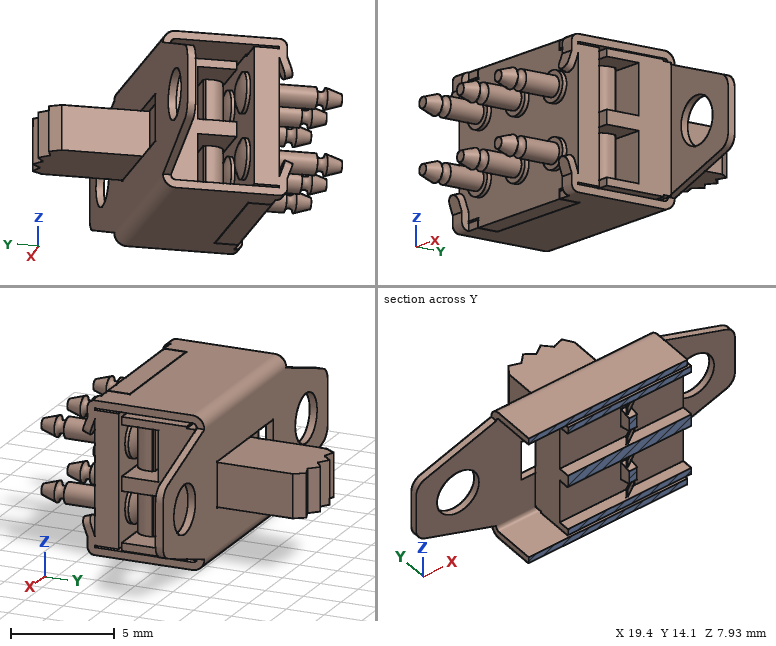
import cadquery as cq
import math


SHEET = 0.40
FRAME_LENGTH = 9.64
FRAME_HEIGHT = 7.93
BEND_RADIUS = 0.635
FLANGE_LENGTH = 19.35
FLANGE_END_HEIGHT = 3.40
FLANGE_CORNER_RADIUS = 0.80
MOUNTING_HOLE_DIAMETER = 2.54
MOUNTING_HOLE_SPACING = 14.27
WINDOW_CLEARANCE = 0.05

LUG_WIDTH = 0.76
LUG_REACH = 1.0
LUG_TILT = 20.0
LUG_BEND_Z = 3.0

BASE_TOP_Y = -4.54
BASE_BOTTOM_Y = -5.79
BASE_HEIGHT = 6.94
BASE_TAB_LENGTH = 6.54
BASE_TAB_TOP_Y = -4.63
NOTCH_SIDE_GAP = 0.06
NOTCH_TOP_GAP = 0.02

PIN_PITCH_X = 3.05
PIN_PITCH_Z = 3.35
PIN_DIAMETER = 1.09
PIN_HEAD_DIAMETER = 2.03
PIN_HEAD_RIM = 0.18
PIN_HEAD_TOP_Y = -4.06
PIN_COLLAR_DIAMETER = 1.63
PIN_COLLAR_THICKNESS = 0.24
PIN_GROOVE_DIAMETER = 0.64
PIN_GROOVE_TOP_Y = -8.0
PIN_GROOVE_BOTTOM_Y = -8.5
PIN_TIP_DIAMETER = 0.58
PIN_TIP_Y = -9.295

KNOB_CENTER_X = 1.31
KNOB_LENGTH = 3.96
KNOB_HEIGHT = 2.29
WINDOW_LENGTH = 2 * KNOB_CENTER_X + KNOB_LENGTH
KNOB_SHOULDER_Y = 3.98
KNOB_CENTER_VALLEY_Y = 4.42
KNOB_PEAK_X = 0.53
KNOB_PEAK_Y = 4.795
KNOB_OUTER_VALLEY_X = 1.0
KNOB_OUTER_VALLEY_Y = 4.32
KNOB_OUTER_PEAK_X = 1.62
KNOB_OUTER_PEAK_Y = 4.53
SLIDER_LENGTH = 7.50
SLIDER_TOP_HEIGHT = 6.68
SLIDER_HEIGHT = 6.86
SLIDER_STEP_Y = -0.83
SLIDER_FLOOR_Y = -2.33
LEG_END_Y = -4.26
LEG_THICKNESS = 0.41
RIB_THICKNESS = 0.75
NIB_RADIUS = 0.17
NIB_TIP_RADIUS = 0.06
NIB_LENGTH = 0.18

CONTACT_CENTER_X = PIN_PITCH_X / 2
CONTACT_LENGTH = 5.2
CONTACT_WIDTH = 2.36
CONTACT_TOP_Y = -3.07
CONTACT_BOTTOM_Y = -4.09
CONTACT_EDGE_RADIUS = 0.70
SPRING_LEAF = 0.10
SPRING_LEAF_LENGTH = 5.0
SPRING_RAIL_THICKNESS = 0.08
SPRING_RAIL_RUN = 0.9
SPRING_RAIL_INNER_Z = 0.70
SPRING_TONGUE_LENGTH = 0.5
SPRING_TONGUE_TOP_HALF_WIDTH = 0.55
SPRING_TONGUE_BOTTOM_HALF_WIDTH = 0.40

HALF_FRAME = FRAME_LENGTH / 2
HALF_HEIGHT = FRAME_HEIGHT / 2
INNER_HALF_HEIGHT = HALF_HEIGHT - SHEET


def block(x_range, y_range, z_range):
    """Box spanning the given (low, high) ranges."""
    spans = [high - low for low, high in (x_range, y_range, z_range)]
    corner = (x_range[0], y_range[0], z_range[0])
    return cq.Workplane("XY").box(*spans, centered=False).translate(corner)


def centered(length, center=0.0):
    """Range of the given length about a center."""
    return (center - length / 2, center + length / 2)


def extrude_along_x(profile_yz, x_range):
    """Polygon of (y, z) points extruded over a range of X."""
    start, end = x_range
    sketch = cq.Workplane("YZ", origin=(start, 0, 0)).polyline(profile_yz).close()
    return sketch.extrude(end - start)


def extrude_along_z(profile_xy, z_range):
    """Polygon of (x, y) points extruded over a range of Z."""
    start, end = z_range
    sketch = cq.Workplane("XY", origin=(0, 0, start)).polyline(profile_xy).close()
    return sketch.extrude(end - start)


def make_flange():
    """Tapered plate with rounded ends, two mounting holes and the knob window."""
    end_x = FLANGE_LENGTH / 2
    end_z = FLANGE_END_HEIGHT / 2
    root_z = HALF_HEIGHT - BEND_RADIUS
    outline = [
        (-end_x, -end_z), (-HALF_FRAME, -root_z), (HALF_FRAME, -root_z),
        (end_x, -end_z), (end_x, end_z), (HALF_FRAME, root_z),
        (-HALF_FRAME, root_z), (-end_x, end_z),
    ]
    plate = cq.Workplane("XZ").polyline(outline).close().extrude(SHEET)
    plate = plate.edges("|Y and (<X or >X)").fillet(FLANGE_CORNER_RADIUS)
    holes = (
        cq.Workplane("XZ")
        .pushPoints([(-MOUNTING_HOLE_SPACING / 2, 0), (MOUNTING_HOLE_SPACING / 2, 0)])
        .circle(MOUNTING_HOLE_DIAMETER / 2)
        .extrude(SHEET)
    )
    return plate.cut(holes)


def make_channel():
    """U-shaped cover: web on the flange plane and two walls, bent at the corners."""
    outer = block(centered(FRAME_LENGTH), (BASE_BOTTOM_Y, 0), centered(FRAME_HEIGHT))
    outer = outer.edges("|X and >Y").fillet(BEND_RADIUS)
    inner = block(centered(FRAME_LENGTH), (BASE_BOTTOM_Y, -SHEET), centered(2 * INNER_HALF_HEIGHT))
    inner = inner.edges("|X and >Y").fillet(BEND_RADIUS - SHEET)
    notches = block(
        centered(BASE_TAB_LENGTH + 2 * NOTCH_SIDE_GAP),
        (BASE_BOTTOM_Y, BASE_TAB_TOP_Y + NOTCH_TOP_GAP),
        centered(FRAME_HEIGHT),
    )
    return outer.cut(inner).cut(notches)


def make_lug():
    """Lug at the -X, +Z corner: folded over the base, then bent away from it."""
    x_range = (-HALF_FRAME, -HALF_FRAME + LUG_WIDTH)
    outer_y = BASE_BOTTOM_Y - SHEET
    bend_middle = SHEET * math.sqrt(0.5)
    fold = (
        cq.Workplane("YZ", origin=(x_range[0], 0, 0))
        .moveTo(BASE_BOTTOM_Y, LUG_BEND_Z)
        .lineTo(outer_y, LUG_BEND_Z)
        .lineTo(outer_y, INNER_HALF_HEIGHT)
        .threePointArc(
            (BASE_BOTTOM_Y - bend_middle, INNER_HALF_HEIGHT + bend_middle), (BASE_BOTTOM_Y, HALF_HEIGHT)
        )
        .close()
        .extrude(LUG_WIDTH)
    )

    straight = LUG_REACH - LUG_WIDTH / 2
    tip_z = LUG_BEND_Z - straight
    tongue = (
        cq.Workplane("XZ", origin=(0, BASE_BOTTOM_Y, 0))
        .moveTo(x_range[0], LUG_BEND_Z)
        .lineTo(x_range[0], tip_z)
        .threePointArc((sum(x_range) / 2, LUG_BEND_Z - LUG_REACH), (x_range[1], tip_z))
        .lineTo(x_range[1], LUG_BEND_Z)
        .close()
        .extrude(SHEET)
    )
    tongue = tongue.rotate((0, BASE_BOTTOM_Y, LUG_BEND_Z), (1, BASE_BOTTOM_Y, LUG_BEND_Z), -LUG_TILT)
    return fold.union(tongue)


def make_frame():
    frame = make_channel().union(make_flange())
    window = block(
        centered(WINDOW_LENGTH), (-SHEET, 0), centered(KNOB_HEIGHT + 2 * WINDOW_CLEARANCE)
    )
    frame = frame.cut(window)
    upper_left = make_lug()
    upper_pair = upper_left.union(upper_left.mirror("YZ"))
    return frame.union(upper_pair).union(upper_pair.mirror("XY"))


def make_base():
    """Terminal board with side tabs that fill the wall notches."""
    board = block(centered(FRAME_LENGTH), (BASE_BOTTOM_Y, BASE_TOP_Y), centered(BASE_HEIGHT))
    shelf = block(centered(BASE_TAB_LENGTH), (BASE_BOTTOM_Y, BASE_TOP_Y), centered(2 * INNER_HALF_HEIGHT))
    tabs = block(centered(BASE_TAB_LENGTH), (BASE_BOTTOM_Y, BASE_TAB_TOP_Y), centered(FRAME_HEIGHT))
    return board.union(shelf).union(tabs)


def make_pin():
    """Turned terminal about the Y axis: domed head, collar, shaft, neck and tapered tip."""
    head_r = PIN_HEAD_DIAMETER / 2
    rim_y = BASE_TOP_Y + PIN_HEAD_RIM
    dome_rise = PIN_HEAD_TOP_Y - rim_y
    dome_r = (head_r ** 2 + dome_rise ** 2) / (2 * dome_rise)
    mid_r = head_r / 2
    mid_y = PIN_HEAD_TOP_Y - dome_r + math.sqrt(dome_r ** 2 - mid_r ** 2)
    shaft_r = PIN_DIAMETER / 2
    collar_r = PIN_COLLAR_DIAMETER / 2
    collar_y = BASE_BOTTOM_Y - PIN_COLLAR_THICKNESS
    groove_middle = (PIN_GROOVE_DIAMETER / 2, (PIN_GROOVE_TOP_Y + PIN_GROOVE_BOTTOM_Y) / 2)
    return (
        cq.Workplane("XY")
        .moveTo(0, PIN_HEAD_TOP_Y)
        .threePointArc((mid_r, mid_y), (head_r, rim_y))
        .lineTo(head_r, BASE_TOP_Y)
        .lineTo(collar_r, BASE_TOP_Y)
        .lineTo(collar_r, collar_y)
        .lineTo(shaft_r, collar_y)
        .lineTo(shaft_r, PIN_GROOVE_TOP_Y)
        .threePointArc(groove_middle, (shaft_r, PIN_GROOVE_BOTTOM_Y))
        .lineTo(PIN_TIP_DIAMETER / 2, PIN_TIP_Y)
        .lineTo(0, PIN_TIP_Y)
        .close()
        .revolve(360, (0, 0, 0), (0, 1, 0))
    )


def make_knob():
    """Finger knob with a serrated top."""
    right_side = [
        (KNOB_PEAK_X, KNOB_PEAK_Y),
        (KNOB_OUTER_VALLEY_X, KNOB_OUTER_VALLEY_Y),
        (KNOB_OUTER_PEAK_X, KNOB_OUTER_PEAK_Y),
        (KNOB_LENGTH / 2, KNOB_SHOULDER_Y),
    ]
    left_side = [(-x, y) for x, y in reversed(right_side)]
    center_valley = (0, KNOB_CENTER_VALLEY_Y)
    foot = [(KNOB_LENGTH / 2, -SHEET), (-KNOB_LENGTH / 2, -SHEET)]
    outline = left_side + [center_valley] + right_side + foot
    return extrude_along_z(outline, centered(KNOB_HEIGHT)).translate((KNOB_CENTER_X, 0, 0))


def make_slider():
    """Carrier under the flange with two outer legs and a center rib."""
    x_range = centered(SLIDER_LENGTH, KNOB_CENTER_X)
    top = block(x_range, (SLIDER_STEP_Y, -SHEET), centered(SLIDER_TOP_HEIGHT))
    body = block(x_range, (SLIDER_FLOOR_Y, SLIDER_STEP_Y), centered(SLIDER_HEIGHT))
    rib = block(x_range, (LEG_END_Y, SLIDER_FLOOR_Y), centered(RIB_THICKNESS))
    slider = make_knob().union(top).union(body).union(rib)
    leg_z = (SLIDER_HEIGHT - LEG_THICKNESS) / 2
    for side in (-1, 1):
        leg = block(x_range, (LEG_END_Y, SLIDER_FLOOR_Y), centered(LEG_THICKNESS, side * leg_z))
        nib = cq.Workplane(
            cq.Solid.makeCone(
                NIB_RADIUS, NIB_TIP_RADIUS, NIB_LENGTH,
                cq.Vector(KNOB_CENTER_X, LEG_END_Y, side * leg_z), cq.Vector(0, -1, 0),
            )
        )
        slider = slider.union(leg).union(nib)
    return slider


def make_contact():
    """Rounded bridge contact with a leaf spring pressing it away from the slider floor."""
    leaf_top = CONTACT_TOP_Y + SPRING_LEAF
    bridge = block(
        centered(CONTACT_LENGTH, CONTACT_CENTER_X), (CONTACT_BOTTOM_Y, CONTACT_TOP_Y), centered(CONTACT_WIDTH)
    )
    bridge = bridge.edges("|Z and <Y").fillet(CONTACT_EDGE_RADIUS)
    leaf = block(
        centered(SPRING_LEAF_LENGTH, CONTACT_CENTER_X), (CONTACT_TOP_Y, leaf_top), centered(CONTACT_WIDTH)
    )
    tongue_section = [
        (leaf_top, -SPRING_TONGUE_BOTTOM_HALF_WIDTH), (SLIDER_FLOOR_Y, -SPRING_TONGUE_TOP_HALF_WIDTH),
        (SLIDER_FLOOR_Y, SPRING_TONGUE_TOP_HALF_WIDTH), (leaf_top, SPRING_TONGUE_BOTTOM_HALF_WIDTH),
    ]
    tongue = extrude_along_x(tongue_section, centered(SPRING_TONGUE_LENGTH, CONTACT_CENTER_X))

    contact = bridge.union(leaf).union(tongue)
    slope = math.atan2(SLIDER_FLOOR_Y - leaf_top, SPRING_RAIL_RUN)
    rail_width_x = SPRING_RAIL_THICKNESS / math.sin(slope)
    low_x = CONTACT_CENTER_X - SPRING_RAIL_RUN / 2
    high_x = low_x + SPRING_RAIL_RUN
    rail_profile = [
        (low_x, leaf_top), (low_x + rail_width_x, leaf_top),
        (high_x + rail_width_x, SLIDER_FLOOR_Y), (high_x, SLIDER_FLOOR_Y),
    ]
    upper_rail = extrude_along_z(rail_profile, (SPRING_RAIL_INNER_Z, CONTACT_WIDTH / 2))
    return contact.union(upper_rail).union(upper_rail.mirror("XY"))


def make_switch():
    switch = make_frame().union(make_base()).union(make_slider())
    pin = make_pin()
    contact = make_contact()
    for row_z in (-PIN_PITCH_Z / 2, PIN_PITCH_Z / 2):
        for column in (-1, 0, 1):
            switch = switch.union(pin.translate((column * PIN_PITCH_X, 0, row_z)))
        switch = switch.union(contact.translate((0, 0, row_z)))
    return switch


result = make_switch()